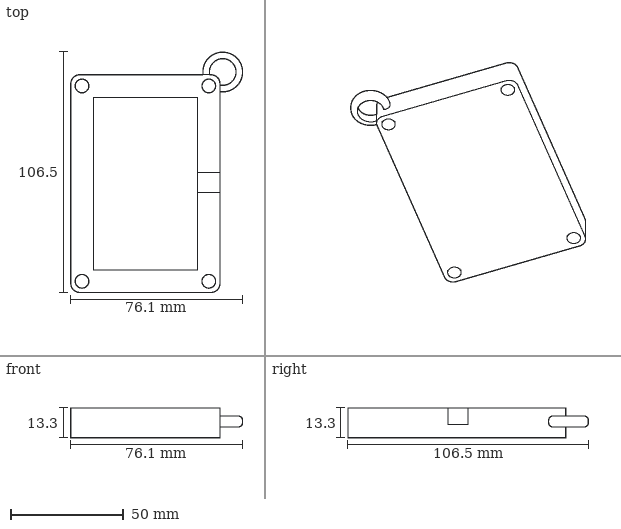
import cadquery as cq

total_x = 76.1
total_y = 106.5
height = 13.3

tray_x = 66.1
tray_y = 96.5
corner_radius = 4.0
wall = 10.0
pocket_depth = 10.3
hole_diameter = 6.0
hole_inset = wall / 2

notch_width = 8.8
notch_depth = 7.5
notch_center_y = 48.8

ring_radius = 8.8
ring_hole_radius = 5.9
ring_thickness = 5.0
ring_fillet = 2.0
ring_center_z = 7.2
ring_x = total_x - ring_radius
ring_y = total_y - ring_radius


def corner_box(size_x, size_y, size_z):
    """Box with its minimum corner at the origin."""
    return cq.Workplane("XY").box(size_x, size_y, size_z, centered=False)


def make_tray_blank():
    return corner_box(tray_x, tray_y, height).edges("|Z").fillet(corner_radius)


def make_ring():
    """Flat ring with rounded outer edges, centered on its mid-plane."""
    disc = cq.Workplane("XY").circle(ring_radius).extrude(ring_thickness / 2, both=True)
    bore = cq.Workplane("XY").circle(ring_hole_radius).extrude(ring_thickness, both=True)
    ring = disc.edges("%CIRCLE").fillet(ring_fillet).cut(bore)
    return ring.translate((ring_x, ring_y, ring_center_z))


def make_pocket():
    pocket = corner_box(tray_x - 2 * wall, tray_y - 2 * wall, pocket_depth)
    return pocket.translate((wall, wall, height - pocket_depth))


def make_notch():
    notch = corner_box(wall, notch_width, notch_depth)
    return notch.translate((tray_x - wall, notch_center_y - notch_width / 2, height - notch_depth))


def make_corner_holes():
    centers = [
        (x, y)
        for x in (hole_inset, tray_x - hole_inset)
        for y in (hole_inset, tray_y - hole_inset)
    ]
    return cq.Workplane("XY").pushPoints(centers).circle(hole_diameter / 2).extrude(height)


result = (
    make_tray_blank()
    .union(make_ring())
    .cut(make_pocket())
    .cut(make_notch())
    .cut(make_corner_holes())
)